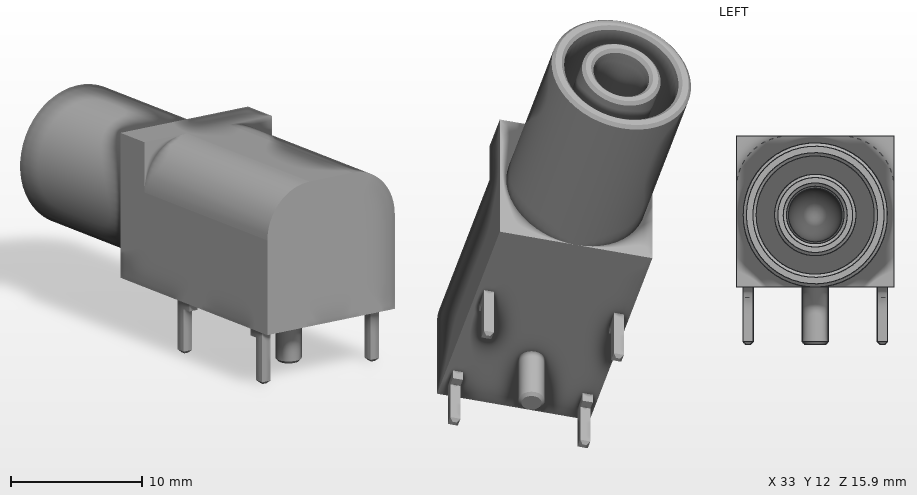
import cadquery as cq
import math

total_length = 33.0
block_width = 12.0
total_height = 15.9
pin_length = 4.4
block_height = total_height - pin_length

block_front_x = 13.95
flange_thickness = 3.1
top_radius = 4.0

sleeve_diameter = 11.0
sleeve_bore = 9.0
axis_height = sleeve_diameter / 2
contact_diameter = 6.2
contact_bore = 4.4
contact_tip_bore = 4.1
bore_depth = 9.9
contact_end_x = block_front_x + flange_thickness
edge_chamfer = 0.248

peg_diameter = 2.0
peg_x = 27.5
tip_chamfer = 0.23

leg_size = 0.8
foot_length = 1.52
foot_height = 0.8
leg_spacing_y = 10.23
front_leg_x = 20.7
rear_leg_x = 31.65


def x_cylinder(diameter, start_x, end_x):
    """Solid cylinder on the jack axis."""
    return (
        cq.Workplane("YZ", origin=(start_x, 0, axis_height))
        .circle(diameter / 2)
        .extrude(end_x - start_x)
    )


def make_block():
    """Square flange with a round-shouldered body behind it."""
    flange = cq.Workplane("XY").box(
        flange_thickness, block_width, block_height, centered=(False, True, False)
    ).translate((block_front_x, 0, 0))
    body_front_x = block_front_x + flange_thickness
    body = (
        cq.Workplane("XY")
        .box(total_length - body_front_x, block_width, block_height, centered=(False, True, False))
        .edges("|X and >Z")
        .fillet(top_radius)
        .translate((body_front_x, 0, 0))
    )
    return flange.union(body)


def make_peg():
    """Round locating peg below the block."""
    return (
        cq.Workplane("XY", origin=(peg_x, 0, 0))
        .circle(peg_diameter / 2)
        .extrude(-pin_length)
        .faces("<Z")
        .chamfer(tip_chamfer)
    )


def make_leg(outer_x, inward, y):
    """L-shaped leg whose foot points in the X direction given by inward (+1 or -1)."""
    shank = (
        cq.Workplane("XY", origin=(outer_x + inward * leg_size / 2, y, 0))
        .rect(leg_size, leg_size)
        .extrude(-pin_length)
        .faces("<Z")
        .chamfer(tip_chamfer)
    )
    foot = (
        cq.Workplane("XY", origin=(outer_x + inward * foot_length / 2, y, 0))
        .rect(foot_length, leg_size)
        .extrude(-foot_height)
    )
    return shank.union(foot)


def make_housing():
    """Block, sleeve, peg and legs, with a seat for the contact."""
    sleeve = x_cylinder(sleeve_diameter, 0, block_front_x).faces("<X").chamfer(edge_chamfer)
    housing = make_block().union(sleeve).union(make_peg())
    for y in (-leg_spacing_y / 2, leg_spacing_y / 2):
        housing = housing.union(make_leg(front_leg_x, 1, y))
        housing = housing.union(make_leg(rear_leg_x, -1, y))
    housing = housing.cut(x_cylinder(sleeve_bore, 0, block_front_x))
    housing = housing.faces("<X").edges("%CIRCLE").edges(
        cq.selectors.RadiusNthSelector(0)
    ).chamfer(edge_chamfer)
    return housing.cut(x_cylinder(contact_diameter, block_front_x, contact_end_x))


def make_contact():
    """Tubular contact: stepped bore with a hemispherical bottom, revolved about the jack axis."""
    outer_radius = contact_diameter / 2
    bore_radius = contact_bore / 2
    tip_radius = contact_tip_bore / 2
    diagonal = tip_radius * math.sqrt(0.5)
    profile = (
        cq.Workplane("XZ")
        .moveTo(edge_chamfer, bore_radius)
        .lineTo(bore_depth, bore_radius)
        .lineTo(bore_depth, tip_radius)
        .threePointArc((bore_depth + diagonal, diagonal), (bore_depth + tip_radius, 0))
        .lineTo(contact_end_x, 0)
        .lineTo(contact_end_x, outer_radius)
        .lineTo(edge_chamfer, outer_radius)
        .lineTo(0, outer_radius - edge_chamfer)
        .lineTo(0, bore_radius + edge_chamfer)
        .close()
    )
    return profile.revolve(360, (0, 0, 0), (1, 0, 0)).translate((0, 0, axis_height))


housing = make_housing()
contact = make_contact()

result = cq.Compound.makeCompound([housing.val(), contact.val()])